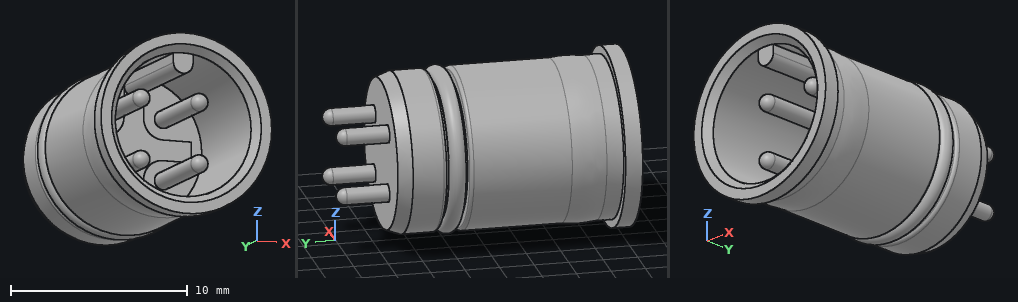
import cadquery as cq
import math


flange_radius = 5.2
flange_end = 1.0
barrel_radius = 4.71
crown_start = 1.99
crown_end = 4.0
crown_rise = 0.07
groove_start = 9.9
groove_end = 11.2
groove_radius = 4.05
groove_edge_fillet = 0.2
collar_radius = 4.65
taper_start = 13.2
rear_radius = 4.35
housing_length = 14.0

bore_radius = 4.13
mouth_radius = 4.55
mouth_depth = 0.5
floor_depth = 8.0
insulator_thickness = 1.0
bore_depth = floor_depth + insulator_thickness

ring_wire_radius = 0.5
ring_outer_radius = 4.81
ring_center_radius = ring_outer_radius - ring_wire_radius
ring_position = (groove_start + groove_end) / 2

pin_radius = 0.51
pin_offset = 1.77
pin_start = 2.0
pin_end = 17.0
pin_centers = [
    (x, z)
    for x in (-pin_offset, pin_offset)
    for z in (-pin_offset, pin_offset)
]

cross_half_width = 0.6
cross_reach = 3.48
cross_thickness = 0.5
cross_fillet = pin_offset - cross_half_width

key_radius = cross_half_width
key_center_height = 3.55


def section_at(y):
    """Sketch plane across the axis at station y; a negative extrusion runs toward +Y."""
    return cq.Workplane("XZ", origin=(0, y, 0))


def rod(radius, start, end):
    """Plain cylinder on the Y axis."""
    return section_at(start).circle(radius).extrude(start - end)


def revolve_about_axis(profile):
    """Turn a profile drawn as (radius, Y) about the Y axis."""
    return profile.revolve(360, (0, 0, 0), (0, 1, 0))


def make_pin(x, z):
    """Round pin with a hemispherical tip at each end."""
    tip = pin_radius * math.sqrt(0.5)
    front_center = pin_start + pin_radius
    rear_center = pin_end - pin_radius
    profile = (
        cq.Workplane("XY")
        .moveTo(0, pin_start)
        .threePointArc((tip, front_center - tip), (pin_radius, front_center))
        .lineTo(pin_radius, rear_center)
        .threePointArc((tip, rear_center + tip), (0, pin_end))
        .close()
    )
    return revolve_about_axis(profile).translate((x, 0, z))


def make_o_ring():
    """Round-section ring that sits partly sunk into the groove bottom."""
    profile = cq.Workplane("XY").center(ring_center_radius, ring_position).circle(ring_wire_radius)
    return profile.revolve(360, (-ring_center_radius, 0, 0), (-ring_center_radius, 1, 0))


def make_cross():
    """Cross with four equal arms and rounded inner corners."""
    length = 2 * cross_reach
    width = 2 * cross_half_width
    front = section_at(floor_depth)
    across = front.rect(length, width).extrude(-cross_thickness)
    upright = front.rect(width, length).extrude(-cross_thickness)
    inner_corner = cq.selectors.BoxSelector((-width, 0, -width), (width, housing_length, width))
    return across.union(upright).edges("|Y").edges(inner_corner).fillet(cross_fillet)


def make_key():
    """Bar with a round underside, closed against the bore wall on top."""
    length = floor_depth - mouth_depth
    front = section_at(mouth_depth)
    underside = front.center(0, key_center_height).circle(key_radius).extrude(-length)
    web = (
        front.center(0, key_center_height + key_radius)
        .rect(2 * key_radius, 2 * key_radius)
        .extrude(-length)
    )
    return underside.union(web).intersect(rod(bore_radius, mouth_depth, floor_depth))


def make_insulator(cross, pins):
    """Disc at the bottom of the bore, holding the pins and the cross."""
    disc = rod(bore_radius, floor_depth, bore_depth).cut(cross)
    for pin in pins:
        disc = disc.cut(pin)
    return disc


def make_housing(o_ring, pins):
    """Turned shell with a flange, a crowned band, an O-ring groove and a tapered rear collar."""
    crown_middle = (crown_start + crown_end) / 2
    profile = (
        cq.Workplane("XY")
        .moveTo(0, bore_depth)
        .lineTo(bore_radius, bore_depth)
        .lineTo(bore_radius, mouth_depth)
        .lineTo(mouth_radius, 0)
        .lineTo(flange_radius, 0)
        .lineTo(flange_radius, flange_end)
        .lineTo(barrel_radius, flange_end)
        .lineTo(barrel_radius, crown_start)
        .threePointArc((barrel_radius + crown_rise, crown_middle), (barrel_radius, crown_end))
        .lineTo(barrel_radius, groove_start - groove_edge_fillet)
        .radiusArc((barrel_radius - groove_edge_fillet, groove_start), -groove_edge_fillet)
        .lineTo(groove_radius, groove_start)
        .lineTo(groove_radius, groove_end)
        .lineTo(collar_radius - groove_edge_fillet, groove_end)
        .radiusArc((collar_radius, groove_end + groove_edge_fillet), -groove_edge_fillet)
        .lineTo(collar_radius, taper_start)
        .lineTo(rear_radius, housing_length)
        .lineTo(0, housing_length)
        .close()
    )
    shell = revolve_about_axis(profile).cut(o_ring)
    for pin in pins:
        shell = shell.cut(pin)
    return shell


pins = [make_pin(x, z) for x, z in pin_centers]
o_ring = make_o_ring()
cross = make_cross()
key = make_key()
insulator = make_insulator(cross, pins)
housing = make_housing(o_ring, pins)

result = cq.Compound.makeCompound(
    [housing.val(), o_ring.val(), insulator.val(), cross.val(), key.val(), *[pin.val() for pin in pins]]
)